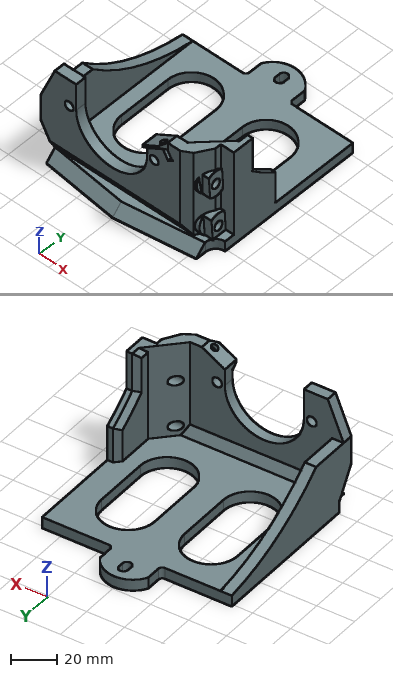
import cadquery as cq
import math


overall_length = 117.6
half_width = 50.0
plate_thickness = 6.0
plate_back = 91.8
corner_radius = 6.0
corner_center_y = 3.2
nose_half_width = half_width - corner_radius
nose_tip_y = -8.5
nose_side_y = -2.8
nose_edge = 0.4
nose_bevel = plate_thickness - nose_edge

tab_half_width = 12.7
tab_end_y = nose_tip_y + overall_length
tab_crown = 7.6
tab_side_y = tab_end_y - tab_crown
tab_root_radius = 2.0
tab_slot_width = 4.7
tab_slot_length = 7.3
tab_slot_y = 100.7

window_width = 28.0
window_length = 57.8
window_x = 21.9
window_y = 51.8

wall_thickness = 6.0
total_height = 56.0
rib_height = 35.8
rib_flat_end_y = 27.0
rib_curve_mid = (56.6, 16.2)
right_rib_end_y = 41.8
right_rib_chamfer = 2.9
rib_inner_x = half_width - wall_thickness
post_top_x = -41.6

cradle_x = -8.2
cradle_z = 40.2
cradle_radius = 20.8
fixing_offset = 24.9
hole_diameter = 5.0

foot_lean = 2.9
foot_top_z = 11.3

bend_x = 32.0
bend_end_x = 37.2
corner_notch = (42.4, 11.3)
corner_front_y = 14.8
diagonal_offset = 24.9

boss_radius = 7.0
boss_y = 10.5
boss_heights = (11.3, 35.9)
boss_step_x = 40.9
boss_step_y = 6.4
boss_end_x = 45.6
boss_lean = 3.5

ledge_x = cradle_x + cradle_radius
ledge_end_x = 24.7
ledge_z = 48.9
ledge_reach = 2.9
ledge_lip = 1.2
pin_diameter = 3.4
pin_depth = 9.4
pin_x = 21.4
pin_y = 0.9

corner_bevel_x = 8.4
corner_bevel_y = corner_center_y + corner_radius
corner_bevel_top_z = 20.9


def plan_prism(points, bottom, top):
    """Vertical prism on a plan outline of (x, y) points."""
    return cq.Workplane("XY").workplane(offset=bottom).polyline(points).close().extrude(top - bottom)


def side_prism(points, start_x, end_x):
    """Prism along X on an outline of (y, z) points."""
    return cq.Workplane("YZ").workplane(offset=start_x).polyline(points).close().extrude(end_x - start_x)


def make_plate():
    plate = plan_prism(
        [
            (-half_width, corner_center_y),
            (half_width, corner_center_y),
            (half_width, plate_back),
            (-half_width, plate_back),
        ],
        0,
        plate_thickness,
    )
    tab = (
        cq.Workplane("XY")
        .moveTo(-tab_half_width, plate_back - wall_thickness)
        .lineTo(tab_half_width, plate_back - wall_thickness)
        .lineTo(tab_half_width, tab_side_y)
        .threePointArc((0, tab_end_y), (-tab_half_width, tab_side_y))
        .close()
        .extrude(plate_thickness)
    )
    plate = plate.union(tab)
    for side in (-1, 1):
        root = cq.selectors.NearestToPointSelector((side * tab_half_width, plate_back, plate_thickness / 2))
        plate = plate.edges("|Z").edges(root).fillet(tab_root_radius)

    windows = (
        cq.Workplane("XY")
        .pushPoints([(-window_x, window_y), (window_x, window_y)])
        .slot2D(window_length, window_width, 90)
        .extrude(plate_thickness)
    )
    tab_slot = (
        cq.Workplane("XY")
        .center(0, tab_slot_y)
        .slot2D(tab_slot_length, tab_slot_width, 90)
        .extrude(plate_thickness)
    )
    front_corners = (
        cq.Workplane("XY")
        .pushPoints([(-half_width, corner_center_y), (half_width, corner_center_y)])
        .circle(corner_radius)
        .extrude(plate_thickness)
    )
    return plate.cut(windows).cut(tab_slot).cut(front_corners)


def make_nose():
    """Pointed front edge, bevelled at 45 degrees above a thin lower edge."""
    def outline(setback):
        return [
            (-nose_half_width, wall_thickness),
            (-nose_half_width, nose_side_y + setback),
            (0, nose_tip_y + setback),
            (nose_half_width, nose_side_y + setback),
            (nose_half_width, wall_thickness),
        ]

    lower = plan_prism(outline(0), 0, nose_edge)
    upper = (
        cq.Workplane("XY", origin=(0, 0, nose_edge))
        .polyline(outline(0))
        .close()
        .workplane(offset=nose_bevel)
        .polyline(outline(nose_bevel))
        .close()
        .loft(ruled=True)
    )
    return lower.union(upper)


def make_rib(inner_x, outer_x):
    """Side rib with a flat top in front and a hollow curve falling to the plate."""
    return (
        cq.Workplane("YZ")
        .workplane(offset=inner_x)
        .moveTo(0, 0)
        .lineTo(plate_back, 0)
        .lineTo(plate_back, plate_thickness)
        .threePointArc(rib_curve_mid, (rib_flat_end_y, rib_height))
        .lineTo(0, rib_height)
        .close()
        .extrude(outer_x - inner_x)
    )


def make_left_rib():
    front_clearance = cq.Workplane("XY").box(2 * half_width, 2 * corner_bevel_y, 2 * plate_thickness)
    return make_rib(-half_width, -rib_inner_x).cut(front_clearance)


def make_right_rib():
    """Shortened rib with a tall block in front, bevelled along its inner outline."""
    rib = make_rib(rib_inner_x, half_width)
    block = side_prism(
        [
            (corner_front_y, plate_thickness),
            (rib_flat_end_y, plate_thickness),
            (rib_flat_end_y, total_height),
            (corner_front_y, total_height),
        ],
        rib_inner_x,
        half_width,
    )
    envelope = side_prism(
        [
            (corner_front_y, plate_thickness),
            (right_rib_end_y, plate_thickness),
            (right_rib_end_y, total_height),
            (corner_front_y, total_height),
        ],
        rib_inner_x,
        half_width,
    )
    rib = rib.union(block).intersect(envelope)
    inner_edges = rib.faces("<X").edges("not(<Y or <Z)")
    return inner_edges.chamfer(right_rib_chamfer)


def make_wall():
    front = (
        cq.Workplane("XZ")
        .moveTo(-half_width, plate_thickness)
        .lineTo(bend_x, plate_thickness)
        .lineTo(bend_x, total_height)
        .lineTo(ledge_end_x, total_height)
        .lineTo(ledge_x, ledge_z)
        .lineTo(ledge_x, cradle_z)
        .threePointArc((cradle_x, cradle_z - cradle_radius), (cradle_x - cradle_radius, cradle_z))
        .lineTo(cradle_x - cradle_radius, total_height)
        .lineTo(post_top_x, total_height)
        .lineTo(-half_width, rib_height)
        .close()
        .extrude(-wall_thickness)
    )
    corner = plan_prism(
        [
            (ledge_end_x, 0),
            (bend_x, 0),
            (bend_end_x, foot_lean),
            corner_notch,
            (corner_notch[0], corner_front_y),
            (half_width, corner_front_y),
            (half_width, half_width - diagonal_offset),
            (rib_inner_x, rib_inner_x - diagonal_offset),
            (wall_thickness + diagonal_offset, wall_thickness),
            (ledge_end_x, wall_thickness),
        ],
        plate_thickness,
        total_height,
    )
    rear_foot = side_prism(
        [
            (wall_thickness, plate_thickness),
            (wall_thickness + foot_lean, plate_thickness),
            (wall_thickness, foot_top_z),
        ],
        -rib_inner_x,
        wall_thickness + foot_lean + diagonal_offset,
    )
    return front.union(corner).union(rear_foot)


def leaning_slab(base_x, front_y, back_y):
    """Slab from X = 0 to a right-hand face that leans left as it rises."""
    top_x = base_x - total_height * math.tan(math.radians(boss_lean))
    return (
        cq.Workplane("XZ", origin=(0, front_y, 0))
        .polyline([(0, 0), (base_x, 0), (top_x, total_height), (0, total_height)])
        .close()
        .extrude(front_y - back_y)
    )


def make_boss(height):
    """Boss along X that starts flush with the diagonal inner face and is stepped at the front."""
    front_y = boss_y - boss_radius
    outside_diagonal = plan_prism(
        [
            (front_y + diagonal_offset, front_y),
            (half_width, front_y),
            (half_width, half_width - diagonal_offset),
        ],
        0,
        total_height,
    )
    stepped_end = leaning_slab(boss_step_x, front_y, boss_step_y).union(
        leaning_slab(boss_end_x, boss_step_y, boss_y + boss_radius)
    )
    cylinder = cq.Workplane("YZ").center(boss_y, height).circle(boss_radius).extrude(half_width)
    return cylinder.intersect(outside_diagonal).intersect(stepped_end)


def make_screw_hole(height):
    return cq.Workplane("YZ").center(boss_y, height).circle(hole_diameter / 2).extrude(half_width)


def make_ledge():
    """Lip that follows the sloped wall top, bevelled underneath and mitred at its upper end."""
    section = cq.Wire.makePolygon(
        [
            cq.Vector(ledge_x, 0, ledge_z),
            cq.Vector(ledge_x, -ledge_reach, ledge_z),
            cq.Vector(ledge_x, -ledge_reach, ledge_z - ledge_lip),
            cq.Vector(ledge_x, 0, ledge_z - ledge_lip - ledge_reach),
        ],
        close=True,
    )
    slope = cq.Vector(ledge_end_x - ledge_x, 0, total_height - ledge_z)
    mitre = plan_prism(
        [
            (ledge_x, 0),
            (ledge_x, -ledge_reach),
            (ledge_end_x - ledge_reach, -ledge_reach),
            (ledge_end_x, 0),
        ],
        0,
        total_height,
    )
    return cq.Workplane(cq.Solid.extrudeLinear(section, [], slope)).intersect(mitre)


def make_pin_hole():
    """Blind hole square to the sloped ledge."""
    run = ledge_end_x - ledge_x
    rise = total_height - ledge_z
    length = math.hypot(run, rise)
    inward = cq.Vector(rise / length, 0, -run / length)
    mouth = cq.Vector(pin_x, pin_y, ledge_z + (pin_x - ledge_x) * rise / run)
    start = mouth - inward * pin_diameter
    return cq.Workplane(cq.Solid.makeCylinder(pin_diameter / 2, pin_depth + pin_diameter, start, inward))


def make_front_undercut():
    return side_prism(
        [(0, plate_thickness), (foot_lean, plate_thickness), (0, foot_top_z)],
        -half_width,
        half_width,
    )


def make_corner_bevel():
    """Tetrahedron under the left front corner of the wall."""
    corner = cq.Vector(-half_width, 0, plate_thickness)
    along_wall = corner + cq.Vector(corner_bevel_x, 0, 0)
    along_rib = corner + cq.Vector(0, corner_bevel_y, 0)
    above = cq.Vector(-half_width, 0, corner_bevel_top_z)
    triangles = [
        (corner, along_wall, along_rib),
        (corner, along_wall, above),
        (corner, along_rib, above),
        (along_wall, along_rib, above),
    ]
    faces = [cq.Face.makeFromWires(cq.Wire.makePolygon(points, close=True)) for points in triangles]
    return cq.Workplane(cq.Solid.makeSolid(cq.Shell.makeShell(faces)))


def make_fixing_holes():
    return (
        cq.Workplane("XZ")
        .pushPoints([(cradle_x - fixing_offset, cradle_z), (cradle_x + fixing_offset, cradle_z)])
        .circle(hole_diameter / 2)
        .extrude(-wall_thickness)
    )


upright = make_wall().union(make_left_rib()).union(make_right_rib())
upright = upright.cut(make_front_undercut()).cut(make_corner_bevel())

for boss_height in boss_heights:
    upright = upright.union(make_boss(boss_height))
for boss_height in boss_heights:
    upright = upright.cut(make_screw_hole(boss_height))

upright = upright.union(make_ledge()).cut(make_pin_hole()).cut(make_fixing_holes())

result = make_plate().union(make_nose()).union(upright)